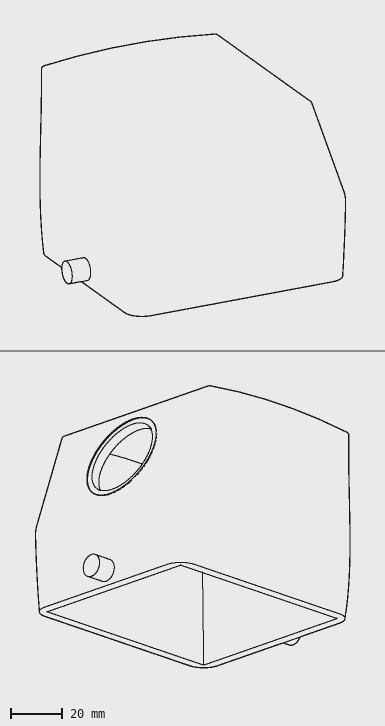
import cadquery as cq
import math

width = 82.5
half_length = 47.1
front_top_y = -45.9
top_edge_z = 76.6
crown_height = 79.0
kink_y = 46.5
kink_z = 34.1
rear_top_y = 31.0
kink_radius = 10.5
wall = 4.4

base_corner_radius = 7.6
low_corner_radius = 3.5
low_corner_z = 14.8
rear_low_corner_radius = 5.0
kink_corner_radius = 3.0
mid_corner_z = 44.0
mid_corner_radius = 2.0
top_corner_radius = 1.5
roof_edge_radius = 1.4
cutter_spare = 1.1
blend_tolerance = 0.001

entry_diameter = 31.6
recess_diameter = 36.2
recess_depth = 0.4
entry_center_y = 38.6

pin_diameter = 9.0
pin_z = 6.4
pin_tip_y = 55.0

front_angle = math.degrees(math.atan2(half_length + front_top_y, top_edge_z))
rear_angle = math.degrees(math.atan2(half_length - kink_y, kink_z))
slope_angle = math.degrees(math.atan2(kink_y - rear_top_y, top_edge_z - kink_z))


def side_outline(skirt=0.0):
    """Outline in the YZ plane: flat base, leaning front, crowned roof, sloping rear.

    The skirt carries the front and rear walls on below the base plane.
    """
    front_flare = skirt * math.tan(math.radians(front_angle))
    rear_flare = skirt * math.tan(math.radians(rear_angle))
    crown_y = (front_top_y + rear_top_y) / 2
    return (
        cq.Workplane("YZ")
        .moveTo(half_length + rear_flare, -skirt)
        .lineTo(-half_length - front_flare, -skirt)
        .lineTo(front_top_y, top_edge_z)
        .threePointArc((crown_y, crown_height), (rear_top_y, top_edge_z))
        .lineTo(kink_y, kink_z)
        .close()
    )


def blank():
    """Solid hood with its rear kink rounded."""
    kink_edge = cq.selectors.NearestToPointSelector((0, kink_y, kink_z))
    solid = side_outline().extrude(width / 2, both=True)
    return solid.edges(kink_edge).fillet(kink_radius)


def corner_section(y, z, lean, radius, side):
    """Area between the sharp +X corner at (y, z) and its rounding arc.

    The section plane leans so that it is square to a wall leaning inward by that many
    degrees; side is +1 for the rear wall and -1 for the front wall.
    """
    lean = math.radians(lean)
    normal = (0, -side * math.sin(lean), math.cos(lean))
    plane = cq.Plane(origin=(width / 2, y, z), xDir=(1, 0, 0), normal=normal)
    arc_middle = radius * (1 - math.sqrt(0.5))
    return (
        cq.Workplane(plane)
        .moveTo(-radius, 0)
        .threePointArc((-arc_middle, -side * arc_middle), (0, -side * radius))
        .lineTo(cutter_spare, -side * radius)
        .lineTo(cutter_spare, side * cutter_spare)
        .lineTo(-radius, side * cutter_spare)
        .close()
        .val()
    )


def round_corners(body, sections, ruled=False):
    """Cut the lofted corner sections from the +X corner and its mirror image."""
    cutter = cq.Workplane(cq.Solid.makeLoft(sections, ruled))
    return body.cut(cutter, tol=blend_tolerance).cut(cutter.mirror("YZ"), tol=blend_tolerance)


def round_front_corners(body):
    def section(z, radius):
        y = -half_length + z * math.tan(math.radians(front_angle))
        return corner_section(y, z, front_angle, radius, -1)

    return round_corners(body, [
        section(0, base_corner_radius),
        section(low_corner_z, low_corner_radius),
        section(mid_corner_z, mid_corner_radius),
        section(crown_height, top_corner_radius),
    ])


def round_rear_corners(body):
    def wall_section(distance, lean, radius):
        """Section at a signed distance up the wall from the sharp kink."""
        y = kink_y - distance * math.sin(math.radians(lean))
        z = kink_z + distance * math.cos(math.radians(lean))
        return corner_section(y, z, lean, radius, 1)

    half_turn = math.radians(slope_angle - rear_angle) / 2
    tangent_length = kink_radius * math.tan(half_turn)
    lower_length = math.hypot(half_length - kink_y, kink_z)
    slope_length = math.hypot(kink_y - rear_top_y, top_edge_z - kink_z)

    kink_lean = (rear_angle + slope_angle) / 2
    kink_depth = kink_radius * (1 / math.cos(half_turn) - 1)
    kink_middle_y = kink_y - kink_depth * math.cos(math.radians(kink_lean))
    kink_middle_z = kink_z - kink_depth * math.sin(math.radians(kink_lean))

    base = wall_section(-lower_length, rear_angle, base_corner_radius)
    low = wall_section(low_corner_z - kink_z, rear_angle, rear_low_corner_radius)
    kink_start = wall_section(-tangent_length, rear_angle, kink_corner_radius)
    kink_middle = corner_section(kink_middle_y, kink_middle_z, kink_lean, kink_corner_radius, 1)
    kink_end = wall_section(tangent_length, slope_angle, kink_corner_radius)
    top = wall_section(slope_length + cutter_spare, slope_angle, top_corner_radius)

    body = round_corners(body, [base, low, kink_start])
    body = round_corners(body, [kink_start, kink_middle, kink_end])
    return round_corners(body, [kink_end, top], ruled=True)


def round_roof_edges(body):
    crown = cq.selectors.NearestToPointSelector((0, 0, crown_height))
    return body.faces(crown).edges().fillet(roof_edge_radius)


def cavity():
    """Inside of the hood, one wall thickness in from the outside and open at the base."""
    inside = side_outline(skirt=2 * wall).offset2D(-wall, "intersection")
    return inside.extrude(width / 2 - wall, both=True)


def cable_entry():
    """Hole through the sloping wall with a shallow recess around it."""
    slope = math.radians(slope_angle)
    center_z = kink_z + (kink_y - entry_center_y) / math.tan(slope)
    inward = cq.Plane(
        origin=(0, entry_center_y, center_z),
        xDir=(1, 0, 0),
        normal=(0, -math.cos(slope), -math.sin(slope)),
    )
    hole = cq.Workplane(inward).circle(entry_diameter / 2).extrude(2 * wall)
    recess = cq.Workplane(inward).circle(recess_diameter / 2).extrude(recess_depth)
    return hole.union(recess)


def locking_pin(side):
    """Pin rooted inside the front (-1) or rear (+1) wall and standing out from it."""
    root_y = half_length - wall / 2
    plane = cq.Plane(origin=(0, side * root_y, pin_z), xDir=(1, 0, 0), normal=(0, side, 0))
    return cq.Workplane(plane).circle(pin_diameter / 2).extrude(pin_tip_y - root_y)


hood = round_roof_edges(round_rear_corners(round_front_corners(blank())))
hood = hood.cut(cavity()).cut(cable_entry())
for side in (-1, 1):
    hood = hood.union(locking_pin(side))

result = cq.Workplane(hood.solids().val())